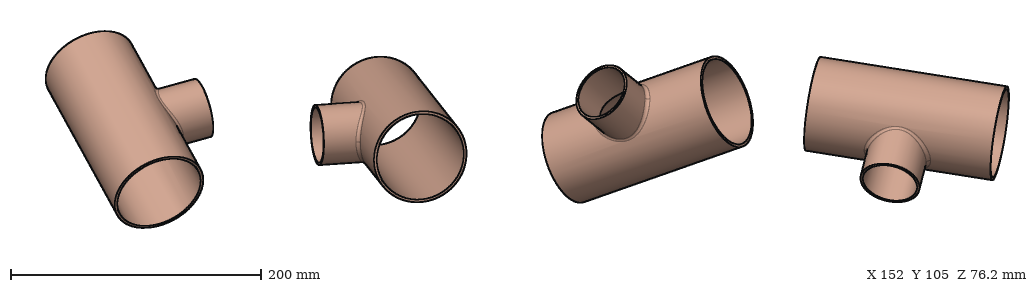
import cadquery as cq

run_length = 152.0
run_diameter = 76.2
run_bore = 71.5

branch_diameter = 48.3
branch_bore = 44.2
overall_depth = 105.0
branch_reach = overall_depth - run_diameter / 2

blend_radius = 2.9


def run_cylinder(diameter):
    """Cylinder along X, centred on the origin."""
    return cq.Workplane("YZ").circle(diameter / 2).extrude(run_length / 2, both=True)


def branch_cylinder(diameter):
    """Cylinder from the run axis to the open end of the branch."""
    return cq.Workplane("XZ").circle(diameter / 2).extrude(-branch_reach)


body = run_cylinder(run_diameter).union(branch_cylinder(branch_diameter))

joint_zone = cq.selectors.BoxSelector(
    (-branch_diameter, 0, -branch_diameter),
    (branch_diameter, (run_diameter / 2 + branch_reach) / 2, branch_diameter),
    boundingbox=True,
)
body = body.edges(joint_zone).fillet(blend_radius)

result = body.cut(run_cylinder(run_bore)).cut(branch_cylinder(branch_bore))